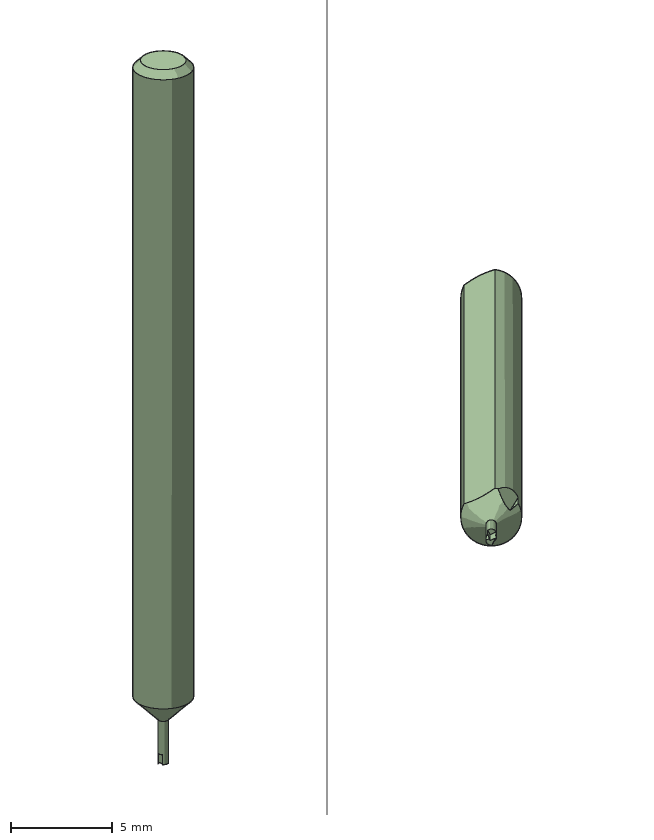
import cadquery as cq

length = 38.0
shank_radius = 1.5
overall_depth = 2.75
flat_y = overall_depth - shank_radius
top_chamfer = 0.38

shoulder_z = 3.7
neck_radius = 0.25
neck_top_z = shoulder_z - (shank_radius - neck_radius)

notch_top_z = shoulder_z + 0.9
notch_bottom_z = shoulder_z - 0.9
notch_slope_z = 0.33
notch_slope_y = 0.19

rake_height = 1.03
rake_wall_x = 0.057
relief_height = 0.65
relief_depth_y = -0.23
heel_z = 0.1
back_relief_y = 0.1
back_relief_z = 0.45
tip_width = 0.1


def box_between(low, high):
    """Box spanning two opposite corners."""
    size = [b - a for a, b in zip(low, high)]
    return cq.Workplane("XY").box(*size, centered=False).translate(low)


def make_body():
    """Revolved shank, taper and neck with the full-length back flat."""
    body = (
        cq.Workplane("XZ")
        .moveTo(0, 0)
        .lineTo(neck_radius, 0)
        .lineTo(neck_radius, neck_top_z)
        .lineTo(shank_radius, shoulder_z)
        .lineTo(shank_radius, length - top_chamfer)
        .lineTo(shank_radius - top_chamfer, length)
        .lineTo(0, length)
        .close()
        .revolve(360, (0, 0, 0), (0, 1, 0))
    )
    flat_waste = box_between((-shank_radius, flat_y, 0), (shank_radius, shank_radius, length))
    return body.cut(flat_waste)


def notch_section(y):
    """Triangular waste section at a given Y, bounded by the slanted flat."""
    inward = notch_slope_y * y
    top_z = notch_top_z + inward / notch_slope_z
    bottom_x = -shank_radius + notch_slope_z * (top_z - notch_bottom_z)
    return (
        cq.Workplane("XZ", origin=(0, y, 0))
        .moveTo(-shank_radius, top_z)
        .lineTo(bottom_x, notch_bottom_z)
        .lineTo(-shank_radius, notch_bottom_z)
        .close()
        .val()
    )


def make_notch():
    """Waste outside a flat that leans inward toward the tip and toward +Y."""
    sections = [notch_section(y) for y in (0, shank_radius)]
    return cq.Workplane(cq.Solid.makeLoft(sections, True))


def make_rake_pocket():
    """Pocket behind the rake face, open to -X and to the tool end."""
    return box_between((-neck_radius, 0, 0), (rake_wall_x, neck_radius, rake_height))


def make_side_relief():
    """Wedge that leaves a clearance face falling away from the cutting edge."""
    return (
        cq.Workplane("XY")
        .moveTo(-neck_radius, 0)
        .lineTo(rake_wall_x, relief_depth_y)
        .lineTo(rake_wall_x, -neck_radius)
        .lineTo(-neck_radius, -neck_radius)
        .close()
        .extrude(relief_height)
    )


def make_end_relief():
    """Clearance under the end, leaving only the -X corner at full length."""
    return (
        cq.Workplane("XZ", origin=(0, neck_radius, 0))
        .moveTo(-neck_radius, 0)
        .lineTo(tip_width - neck_radius, heel_z)
        .lineTo(neck_radius, heel_z)
        .lineTo(neck_radius, 0)
        .close()
        .extrude(2 * neck_radius)
    )


def make_back_relief():
    """Bevel on the +Y side of the end."""
    return (
        cq.Workplane("YZ", origin=(-neck_radius, 0, 0))
        .moveTo(back_relief_y, heel_z)
        .lineTo(neck_radius, back_relief_z)
        .lineTo(neck_radius, heel_z)
        .close()
        .extrude(2 * neck_radius)
    )


result = (
    make_body()
    .cut(make_notch())
    .cut(make_rake_pocket())
    .cut(make_side_relief())
    .cut(make_end_relief())
    .cut(make_back_relief())
)